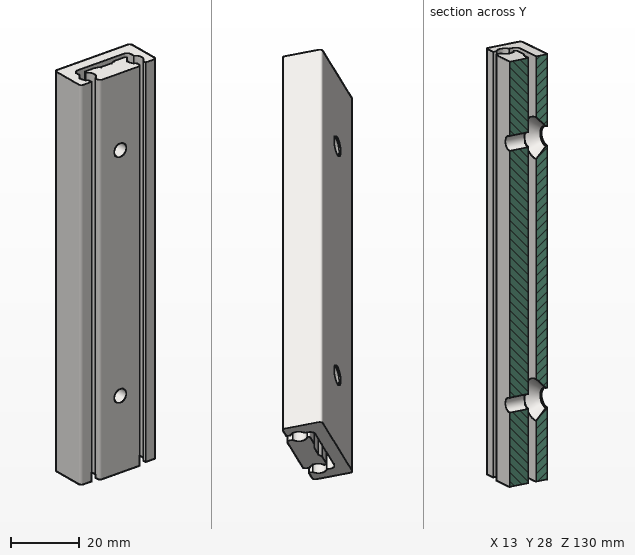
import cadquery as cq

length = 130.0
ball_radius = 2.5
ball_x = 8.8
ball_y = 8.78
hole_spacing = 80.0

rail_depth = 12.2
rail_width = 28.0
web_thickness = 3.9
rail_inner_half = 10.0
back_round = 0.9
lip_round = 0.9
inner_round = 1.5
rail_hole_diameter = 6.0
rail_hole_depth = 0.5
countersink_diameter = rail_hole_diameter + 2 * (web_thickness - rail_hole_depth)

slider_back = 5.8
slider_front = 13.0
slider_half_width = 7.7
slider_front_round = 0.9
slider_back_round = 0.5
recess_half_width = 3.5
recess_floor_half_width = 2.0
recess_depth = 0.6
slider_hole_diameter = 4.4


def block(x_min, x_max, half_width):
    """Full-length bar from x_min to x_max, centred on Y and Z."""
    return cq.Workplane("XY").box(x_max - x_min, 2 * half_width, length).translate(
        ((x_min + x_max) / 2, 0, 0)
    )


def ball_grooves():
    """The two full-length cylinders along which the balls run."""
    return (
        cq.Workplane("XY", origin=(0, 0, -length / 2))
        .pushPoints([(ball_x, -ball_y), (ball_x, ball_y)])
        .circle(ball_radius)
        .extrude(length)
    )


def screw_holes(diameter):
    """Two cylinders along X that pass through both bodies."""
    return (
        cq.Workplane("YZ")
        .pushPoints([(0, -hole_spacing / 2), (0, hole_spacing / 2)])
        .circle(diameter / 2)
        .extrude(slider_front)
    )


def countersinks():
    """Cones that widen the rail holes toward the channel, for flat screw heads."""
    cone = cq.Solid.makeCone(
        rail_hole_diameter / 2,
        countersink_diameter / 2,
        web_thickness - rail_hole_depth,
        pnt=cq.Vector(rail_hole_depth, 0, 0),
        dir=cq.Vector(1, 0, 0),
    )
    return [cone.translate(cq.Vector(0, 0, z)) for z in (-hole_spacing / 2, hole_spacing / 2)]


def make_rail():
    outside = block(0, rail_depth, rail_width / 2)
    outside = outside.edges("|Z and <X").fillet(back_round)
    outside = outside.edges("|Z and >X").fillet(lip_round)
    channel = block(web_thickness, slider_front, rail_inner_half)
    channel = channel.edges("|Z and <X").fillet(inner_round)
    rail = outside.cut(channel).cut(ball_grooves()).cut(screw_holes(rail_hole_diameter))
    for cone in countersinks():
        rail = rail.cut(cq.Workplane(cone))
    return rail


def back_recess():
    """Shallow full-length trough with sloping sides in the back of the slider."""
    floor_x = slider_back + recess_depth
    return (
        cq.Workplane("XY", origin=(0, 0, -length / 2))
        .moveTo(slider_back, -recess_half_width)
        .lineTo(floor_x, -recess_floor_half_width)
        .lineTo(floor_x, recess_floor_half_width)
        .lineTo(slider_back, recess_half_width)
        .close()
        .extrude(length)
    )


def make_slider():
    body = block(slider_back, slider_front, slider_half_width)
    body = body.edges("|Z and >X").fillet(slider_front_round)
    body = body.edges("|Z and <X").fillet(slider_back_round)
    return body.cut(ball_grooves()).cut(back_recess()).cut(screw_holes(slider_hole_diameter))


rail = make_rail()
slider = make_slider()
result = cq.Compound.makeCompound([rail.val(), slider.val()])